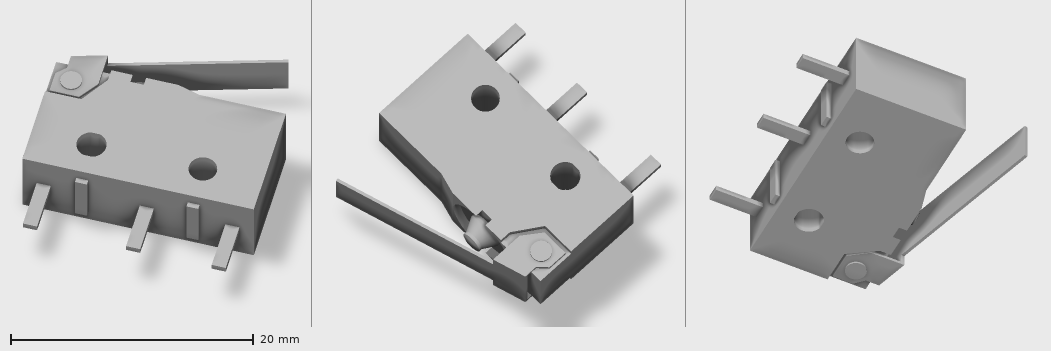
import cadquery as cq
import math


HOUSING_LENGTH = 19.8
HOUSING_DEPTH = 6.4
HOUSING_HEIGHT = 10.65
LOW_SHOULDER_HEIGHT = 10.13
SLOPE_START_X = 10.46
SLOPE_END_X = 12.38

HOLE_DIAMETER = 2.37
FLAT_HOLE_DIAMETER = 2.5
HOLE_Y = 2.9
FLAT_HOLE_X = 5.14
ROUND_HOLE_X = 14.66

TERMINAL_LENGTH = 4.3
TERMINAL_WIDTH = 1.2
TERMINAL_THICKNESS = 0.52
TERMINAL_CENTERS_X = (1.83, 10.65, 17.97)
RIB_HEIGHT = 0.44
RIB_WIDTH = 1.02
RIB_LENGTH = 4.37
RIB_CENTERS_X = (FLAT_HOLE_X, ROUND_HOLE_X)

SHEET_THICKNESS = 0.27
LEVER_WIDTH = 3.66
LEG_SPAN = 5.89
LEG_LEFT_X = 0.3
LEG_NECK_X = 1.08
LEG_RIGHT_X = 4.01
LEG_BOTTOM_Y = 7.5
LEG_BOTTOM_RIGHT_X = 2.8
LEG_RIGHT_CORNER_Y = 9.2
LEG_LEFT_CORNER_Y = 9.34
LEG_NECK_Y = 10.13
LEVER_START_Y = 11.35
LEVER_TIP_X = 18.3
LEVER_TIP_Y = HOUSING_HEIGHT + 5.85
LEVER_ANGLE = math.atan2(LEVER_TIP_Y - LEVER_START_Y, LEVER_TIP_X - LEG_NECK_X)

RECESS_FLOOR_Z = LEG_SPAN / 2 - SHEET_THICKNESS
RECESS_RIGHT_X = 4.72
RECESS_CORNER_Y = 9.63
RECESS_BOTTOM_X = 3.12
RECESS_BOTTOM_Y = 7.15
RIVET_X = 1.77
RIVET_Y = 8.88
RIVET_DIAMETER = 1.8
RIVET_PROUD = 0.17

PLUNGER_X = 7.13
WELL_OPENING_WIDTH = 1.15
WELL_RADIUS = math.hypot(HOUSING_DEPTH / 2, WELL_OPENING_WIDTH / 2)
WELL_FLOOR_Y = 9.92
CONE_BASE_Y = 10.21
CONE_BASE_RADIUS = 1.62
CAP_BOTTOM_Y = 11.42
CAP_RIM_Y = 11.7
CAP_TOP_Y = 11.92
CAP_RADIUS = 0.95


def centered_prism(points, depth):
    """Extrude an XY outline symmetrically about the mid-plane."""
    return cq.Workplane("XY").polyline(points).close().extrude(depth / 2, both=True)


def bottom_block(center_x, width, drop, depth):
    """Block hanging from the bottom face of the housing."""
    return cq.Workplane("XY").box(width, drop, depth).translate((center_x, -drop / 2, 0))


def make_housing():
    body = centered_prism(
        [
            (0, 0),
            (HOUSING_LENGTH, 0),
            (HOUSING_LENGTH, LOW_SHOULDER_HEIGHT),
            (SLOPE_END_X, LOW_SHOULDER_HEIGHT),
            (SLOPE_START_X, HOUSING_HEIGHT),
            (0, HOUSING_HEIGHT),
        ],
        HOUSING_DEPTH,
    )
    round_hole = (
        cq.Workplane("XY").center(ROUND_HOLE_X, HOLE_Y)
        .circle(HOLE_DIAMETER / 2).extrude(HOUSING_DEPTH / 2, both=True)
    )
    flat_sided_hole = (
        cq.Workplane("XY").center(FLAT_HOLE_X, HOLE_Y)
        .circle(FLAT_HOLE_DIAMETER / 2).extrude(HOUSING_DEPTH / 2, both=True)
    )
    between_flats = cq.Workplane("XY").box(FLAT_HOLE_DIAMETER, HOLE_DIAMETER, HOUSING_DEPTH)
    flat_sided_hole = flat_sided_hole.intersect(between_flats.translate((FLAT_HOLE_X, HOLE_Y, 0)))
    plunger_well = cq.Solid.makeCylinder(
        WELL_RADIUS,
        HOUSING_HEIGHT - WELL_FLOOR_Y,
        cq.Vector(PLUNGER_X, WELL_FLOOR_Y, 0),
        cq.Vector(0, 1, 0),
    )
    recess_outline = [
        (0, RECESS_BOTTOM_Y),
        (RECESS_BOTTOM_X, RECESS_BOTTOM_Y),
        (RECESS_RIGHT_X, RECESS_CORNER_Y),
        (RECESS_RIGHT_X, HOUSING_HEIGHT),
        (0, HOUSING_HEIGHT),
    ]
    recesses = centered_prism(recess_outline, HOUSING_DEPTH)
    recesses = recesses.cut(centered_prism(recess_outline, 2 * RECESS_FLOOR_Z))
    return body.cut(round_hole).cut(flat_sided_hole).cut(plunger_well).cut(recesses)


def make_lever():
    slope = math.tan(LEVER_ANGLE)
    vertical_thickness = SHEET_THICKNESS / math.cos(LEVER_ANGLE)
    leg_top_right_y = LEVER_START_Y + (LEG_RIGHT_X - LEG_NECK_X) * slope

    legs = centered_prism(
        [
            (LEG_NECK_X, LEVER_START_Y),
            (LEG_NECK_X, LEG_NECK_Y),
            (LEG_LEFT_X, LEG_LEFT_CORNER_Y),
            (LEG_LEFT_X, LEG_BOTTOM_Y),
            (LEG_BOTTOM_RIGHT_X, LEG_BOTTOM_Y),
            (LEG_RIGHT_X, LEG_RIGHT_CORNER_Y),
            (LEG_RIGHT_X, leg_top_right_y),
        ],
        LEG_SPAN,
    )
    gap_between_legs = centered_prism(
        [
            (0, 0),
            (LEG_RIGHT_X, 0),
            (LEG_RIGHT_X, leg_top_right_y - vertical_thickness),
            (0, LEVER_START_Y - LEG_NECK_X * slope - vertical_thickness),
        ],
        2 * RECESS_FLOOR_Z,
    )

    blade = centered_prism(
        [
            (LEG_NECK_X, LEVER_START_Y),
            (LEG_NECK_X, LEVER_START_Y - vertical_thickness),
            (
                LEVER_TIP_X + SHEET_THICKNESS * math.sin(LEVER_ANGLE),
                LEVER_TIP_Y - SHEET_THICKNESS * math.cos(LEVER_ANGLE),
            ),
            (LEVER_TIP_X, LEVER_TIP_Y),
        ],
        LEVER_WIDTH,
    )
    return legs.cut(gap_between_legs).union(blade)


def make_rivet():
    return (
        cq.Workplane("XY").center(RIVET_X, RIVET_Y)
        .circle(RIVET_DIAMETER / 2).extrude(LEG_SPAN / 2 + RIVET_PROUD, both=True)
    )


def make_plunger():
    cap_rise = CAP_TOP_Y - CAP_RIM_Y
    dome_radius = (CAP_RADIUS ** 2 + cap_rise ** 2) / (2 * cap_rise)
    dome_mid_x = CAP_RADIUS / 2
    dome_mid_y = CAP_TOP_Y - dome_radius + math.sqrt(dome_radius ** 2 - dome_mid_x ** 2)
    return (
        cq.Workplane("XY")
        .moveTo(0, WELL_FLOOR_Y)
        .lineTo(CONE_BASE_RADIUS, WELL_FLOOR_Y)
        .lineTo(CONE_BASE_RADIUS, CONE_BASE_Y)
        .lineTo(CAP_RADIUS, CAP_BOTTOM_Y)
        .lineTo(CAP_RADIUS, CAP_RIM_Y)
        .threePointArc((dome_mid_x, dome_mid_y), (0, CAP_TOP_Y))
        .close()
        .revolve(360, (0, 0, 0), (0, 1, 0))
        .translate((PLUNGER_X, 0, 0))
    )


result = make_housing().union(make_lever()).union(make_rivet()).union(make_plunger())
for terminal_x in TERMINAL_CENTERS_X:
    result = result.union(bottom_block(terminal_x, TERMINAL_WIDTH, TERMINAL_LENGTH, TERMINAL_THICKNESS))
for rib_x in RIB_CENTERS_X:
    result = result.union(bottom_block(rib_x, RIB_WIDTH, RIB_HEIGHT, RIB_LENGTH))